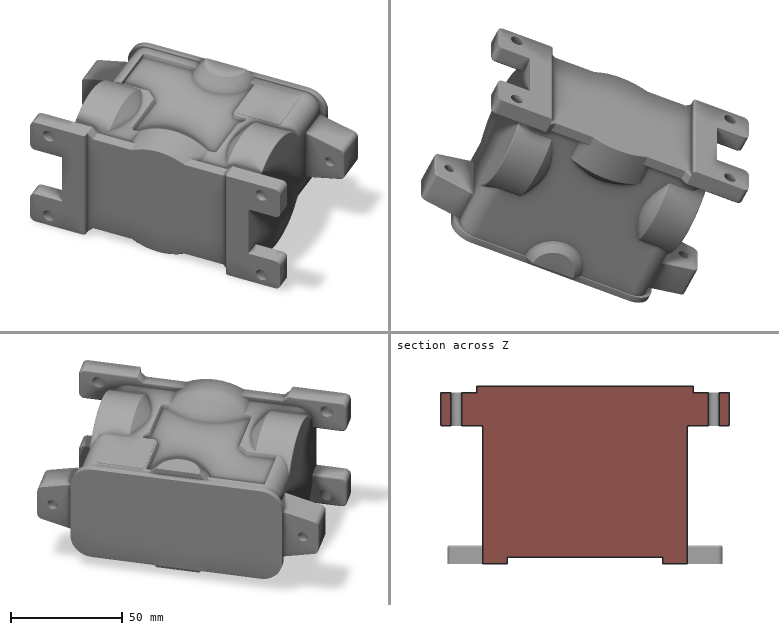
import cadquery as cq
import math

total_depth = 80.0

body_length = 92.0
body_height = 45.5
body_corner_radius = 7.5
base_y = 3.0
flange_length = 97.5
flange_height = 47.0
flange_thickness = 3.0
flange_corner_radius = 10.0

barrel_radius = 28.5
barrel_axis_y = 31.0
side_barrel_inner_x = 29.1
front_barrel_end_y = 19.6
barrel_rim_round = 0.5

feet_length = 123.4
feet_height = 55.8
feet_thickness = 8.4
feet_inner_x = 34.7
feet_edge_round = 1.0
feet_corner_radius = 2.5
notch_height = 25.0
foot_hole_diameter = 5.7
foot_hole_x = 52.5
foot_hole_z = 22.5

pad_height = 50.6
pad_flat_x = 32.0
pad_end_x = 36.0
pad_front_round = 0.4
pad_rear_round = 0.8

ear_tip_x = 64.75
ear_depth = 15.0
ear_root_half = 12.6
ear_tip_half = 8.0
ear_corner_radius = 2.4
ear_edge_round = 0.6
ear_root_round = 0.5
ear_hole_diameter = 4.7
ear_hole_x = 57.7

boss_top_radius = 9.9
boss_top_z = 26.5

recess_depth = 2.0
recess_wall_run = 1.0
recess_left_x = -39.1
recess_top_y = 73.0
recess_bottom_y = 19.5
recess_upper_right_x = 15.8
recess_upper_right_y = 48.5
recess_upper_left_y = 48.7
recess_lower_half = 20.9
recess_bevel = 1.1
recess_corner_radius = 2.5
recess_left_slant_x, recess_left_slant_y = -25.5, 44.3
recess_nose_x, recess_nose_y = 22.5, 46.9
recess_nose_bevel = 0.7
recess_right_slant_y = 43.0

badge_min_x, badge_max_x = 16.5, 38.4
badge_min_y, badge_max_y = 50.1, 73.0
badge_corner_radius = 1.5
badge_rise = 0.2

body_half_length = body_length / 2
body_top_z = body_height / 2
flange_y = total_depth - flange_thickness


def front_plane(y):
    """XZ sketch plane at the given Y; extrusions grow toward +Y."""
    return cq.Workplane(cq.Plane(origin=(0, y, 0), xDir=(-1, 0, 0), normal=(0, 1, 0)))


def make_body():
    return (
        front_plane(base_y)
        .rect(body_length, body_height)
        .extrude(flange_y - base_y)
        .edges("|Y")
        .fillet(body_corner_radius)
    )


def make_flange():
    return (
        front_plane(flange_y)
        .rect(flange_length, flange_height)
        .extrude(flange_thickness)
        .edges("|Y")
        .fillet(flange_corner_radius)
    )


def make_cone(base_radius, height, origin, direction):
    """Truncated 45 degree cone, narrowing along the given direction."""
    tip_radius = base_radius - height
    cone = cq.Solid.makeCone(base_radius, tip_radius, height, cq.Vector(*origin), cq.Vector(*direction))
    return cq.Workplane(cone)


def make_side_barrel(side):
    """Barrel along X at one end, its inner end running into the body at 45 degrees."""
    length = body_half_length - side_barrel_inner_x
    end_center = (side * body_half_length, barrel_axis_y, 0)
    end_plane = cq.Plane(origin=end_center, xDir=(0, 1, 0), normal=(-side, 0, 0))
    barrel = (
        cq.Workplane(end_plane)
        .circle(barrel_radius)
        .extrude(length)
        .faces(">X" if side > 0 else "<X")
        .edges()
        .fillet(barrel_rim_round)
    )
    cone_base = (side * side_barrel_inner_x, barrel_axis_y, 0)
    barrel = barrel.union(make_cone(barrel_radius, barrel_radius / 2, cone_base, (-side, 0, 0)))
    keep = front_plane(base_y).rect(body_length, 2 * barrel_radius).extrude(flange_y - base_y)
    return barrel.intersect(keep)


def make_front_barrel():
    """Barrel along Y at the base, merged with the pad that joins the feet."""
    half = pad_height / 2
    shoulder_z = feet_height / 2
    pad_depth = feet_thickness - base_y
    pad = (
        front_plane(base_y)
        .polyline([
            (pad_end_x, shoulder_z),
            (feet_inner_x, shoulder_z),
            (pad_flat_x, half),
            (-pad_flat_x, half),
            (-feet_inner_x, shoulder_z),
            (-pad_end_x, shoulder_z),
            (-pad_end_x, -shoulder_z),
            (-feet_inner_x, -shoulder_z),
            (-pad_flat_x, -half),
            (pad_flat_x, -half),
            (feet_inner_x, -shoulder_z),
            (pad_end_x, -shoulder_z),
        ])
        .close()
        .extrude(pad_depth)
        .faces(">Y")
        .edges("not |Z")
        .fillet(pad_rear_round)
        .faces("<Y")
        .edges("not |Z")
        .fillet(pad_front_round)
    )
    barrel = (
        front_plane(base_y)
        .circle(barrel_radius)
        .extrude(front_barrel_end_y - base_y)
        .faces("<Y")
        .edges()
        .fillet(pad_front_round)
    )
    cone = make_cone(barrel_radius, barrel_radius / 2, (0, front_barrel_end_y, 0), (0, 1, 0))
    return pad.union(barrel).union(cone)


def make_feet(side):
    """C-shaped foot at one end: two drilled tabs joined by a web."""
    tip_x = side * feet_length / 2
    web_x = side * body_half_length
    inner_x = side * feet_inner_x
    outer_z = feet_height / 2
    notch_z = notch_height / 2
    foot = (
        cq.Workplane("XZ")
        .polyline([
            (inner_x, -outer_z),
            (tip_x, -outer_z),
            (tip_x, -notch_z),
            (web_x, -notch_z),
            (web_x, notch_z),
            (tip_x, notch_z),
            (tip_x, outer_z),
            (inner_x, outer_z),
        ])
        .close()
        .extrude(-feet_thickness)
    )
    outward = ">X" if side > 0 else "<X"
    inward = "<X" if side > 0 else ">X"
    foot = foot.faces(outward).edges("|Y").fillet(feet_corner_radius)
    foot = foot.faces(">Y").edges().fillet(feet_edge_round)
    foot = foot.faces(inward).edges("<Y").fillet(feet_edge_round)
    holes = (
        cq.Workplane("XZ")
        .pushPoints([(side * foot_hole_x, foot_hole_z), (side * foot_hole_x, -foot_hole_z)])
        .circle(foot_hole_diameter / 2)
        .extrude(-feet_thickness)
    )
    return foot.cut(holes)


def make_ear(side):
    """Tapered screw ear beside the flange."""
    tip_x = side * ear_tip_x
    root_x = side * body_half_length
    ear = (
        front_plane(flange_y - ear_depth)
        .polyline([
            (-root_x, -ear_root_half),
            (-tip_x, -ear_tip_half),
            (-tip_x, ear_tip_half),
            (-root_x, ear_root_half),
        ])
        .close()
        .extrude(ear_depth)
    )
    tip = ">X" if side > 0 else "<X"
    ear = ear.faces(tip).edges("|Y").fillet(ear_corner_radius)
    ear = ear.faces("<Y").edges(f"(not |Z) or {tip}").fillet(ear_edge_round)
    hole = (
        front_plane(flange_y - ear_depth)
        .center(-side * ear_hole_x, 0)
        .circle(ear_hole_diameter / 2)
        .extrude(ear_depth)
    )
    return ear.cut(hole)


def make_boss(side):
    """Half of a 45 degree conical boss, flat on top, ending at the flange."""
    boss = make_cone(boss_top_radius + boss_top_z, boss_top_z, (0, flange_y, 0), (0, 0, side))
    keep = front_plane(base_y).rect(body_length, 2 * boss_top_z).extrude(flange_y - base_y)
    return boss.intersect(keep)


def make_recess():
    """Pocket in the top face with sloped walls, except for the upright left wall."""
    slope_angle = math.degrees(math.atan(recess_wall_run / recess_depth))
    open_x = recess_left_x - recess_wall_run
    pocket = (
        cq.Workplane("XY", origin=(0, 0, body_top_z))
        .moveTo(open_x, recess_top_y)
        .lineTo(recess_upper_right_x, recess_top_y)
        .lineTo(recess_upper_right_x, recess_upper_right_y + recess_corner_radius)
        .radiusArc((recess_upper_right_x + recess_corner_radius, recess_upper_right_y), -recess_corner_radius)
        .lineTo(recess_nose_x, recess_upper_right_y)
        .lineTo(recess_nose_x + recess_nose_bevel, recess_nose_y)
        .lineTo(recess_lower_half, recess_right_slant_y)
        .lineTo(recess_lower_half, recess_bottom_y + recess_bevel)
        .lineTo(recess_lower_half - recess_bevel, recess_bottom_y)
        .lineTo(recess_bevel - recess_lower_half, recess_bottom_y)
        .lineTo(-recess_lower_half, recess_bottom_y + recess_bevel)
        .lineTo(-recess_lower_half, recess_left_slant_y)
        .lineTo(recess_left_slant_x, recess_upper_left_y)
        .lineTo(open_x, recess_upper_left_y)
        .close()
        .extrude(-recess_depth, taper=slope_angle)
    )
    keep = cq.Workplane("XY").box(2 * abs(recess_left_x), 2 * total_depth, body_height * 2)
    return pocket.intersect(keep)


def make_badge():
    return (
        cq.Workplane("XY", origin=(0, 0, body_top_z))
        .center((badge_min_x + badge_max_x) / 2, (badge_min_y + badge_max_y) / 2)
        .rect(badge_max_x - badge_min_x, badge_max_y - badge_min_y)
        .extrude(badge_rise)
        .edges("|Z")
        .fillet(badge_corner_radius)
    )


def round_ear_roots(part):
    """Fillet the inner corners where the ears grow out of the body ends."""
    margin = 0.1
    for side in (-1, 1):
        root_x = side * body_half_length
        band = cq.selectors.BoxSelector(
            (root_x - margin, flange_y - ear_depth - margin, -ear_root_half - margin),
            (root_x + margin, flange_y - margin, ear_root_half + margin),
        )
        part = part.edges(band).fillet(ear_root_round)
    return part


result = make_body()
for end in (-1, 1):
    result = result.union(make_ear(end))
result = round_ear_roots(result)
for end in (-1, 1):
    result = result.union(make_side_barrel(end))
result = result.cut(make_recess()).union(make_badge())
result = result.union(make_flange()).union(make_front_barrel())
for end in (-1, 1):
    result = result.union(make_feet(end)).union(make_boss(end))